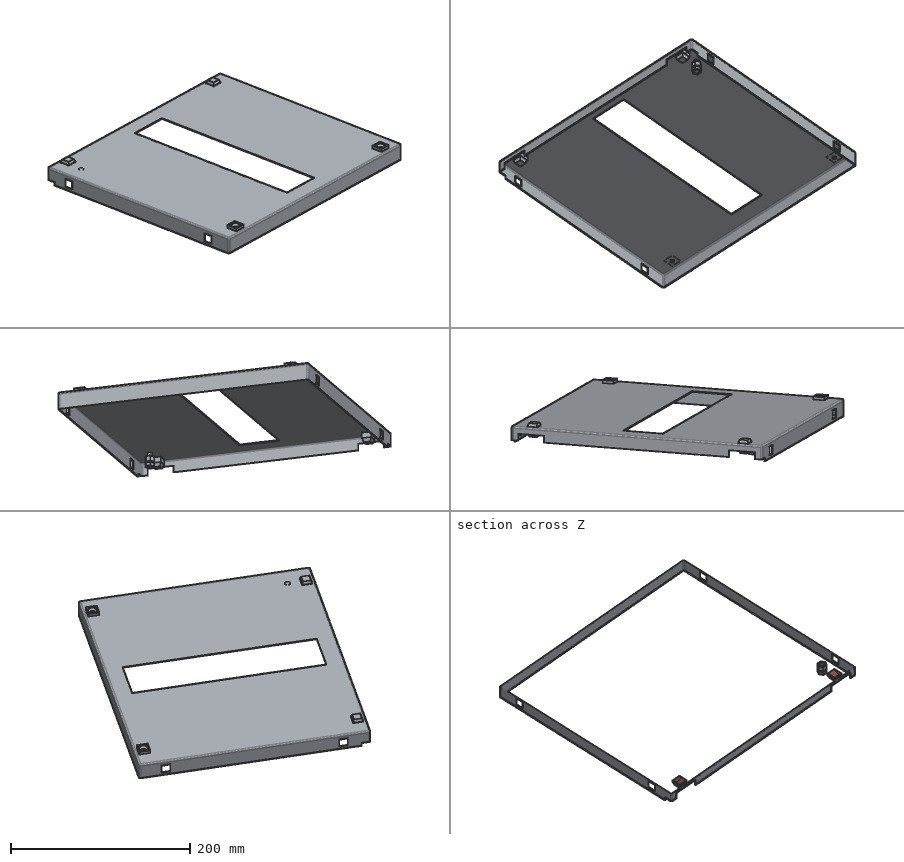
import cadquery as cq

PANEL_X = 265.0
PANEL_Y = 298.0
OVERALL_Z = 23.5
HEAD_HEIGHT = 3.5
PANEL_Z = OVERALL_Z - HEAD_HEIGHT
SHEET = 1.2
BEND_RADIUS = 2.0

WINDOW_X = 222.0
WINDOW_Y = 46.8

WALL_HOLE = 9.8
WALL_HOLE_X = 101.5
WALL_HOLE_Z = 8.5

LEFT_WALL_LIFT = 4.0
LEFT_RELIEF_X = 10.0
NOTCH_Y = 30.7
NOTCH_TOP_Z = 11.5

FASTENER_Y = 125.2
ROW_Y = (-FASTENER_Y, FASTENER_Y)

KNOB_X = -122.5
KNOB_BASE = 12.0
KNOB_TOP = 9.0
KNOB_STEM = 11.3
KNOB_TIP = 7.7
KNOB_TAPER_Z = 12.5
KNOB_TIP_Z = 8.0

BUSHING_X = 122.0
BUSHING_SIDE = 12.8
BUSHING_BORE = 4.5
BUSHING_RECESS = 10.7
BUSHING_RECESS_DEPTH = 0.5
BUSHING_SEAT = 9.5
BUSHING_SEAT_DEPTH = 2.5

STUD_X = -WALL_HOLE_X
STUD_Y = -127.0
STUD_DIAMETER = 6.0
STUD_BOTTOM_Z = 3.0
NUT_ACROSS_FLATS = 9.2
LOWER_NUT_HEIGHT = 4.2
UPPER_NUT_HEIGHT = 6.3
NUT_GAP = 1.2


def block(size_x, size_y, z_bottom, z_top, x=0.0, y=0.0):
    """Upright block centred on (x, y) between two levels."""
    return (
        cq.Workplane("XY", origin=(x, y, z_bottom))
        .rect(size_x, size_y)
        .extrude(z_top - z_bottom)
    )


def frustum(side_start, side_end, z_start, z_end, x, y):
    """Square pyramid frustum centred on (x, y)."""
    return (
        cq.Workplane("XY", origin=(x, y, z_start))
        .rect(side_start, side_start)
        .workplane(offset=z_end - z_start)
        .rect(side_end, side_end)
        .loft(ruled=True)
    )


def make_tray():
    """Panel skin and its four bent walls, with rounded outer edges."""
    outer = block(PANEL_X, PANEL_Y, 0, PANEL_Z)
    outer = outer.edges("|Z or >Z").fillet(BEND_RADIUS)
    inner_top = PANEL_Z - SHEET
    inner = block(PANEL_X - 2 * SHEET, PANEL_Y - 2 * SHEET, 0, inner_top)
    inner = inner.edges("|Z or >Z").fillet(BEND_RADIUS - SHEET)
    return outer.cut(inner)


def left_wall_relief():
    """Material removed below the left wall, including the notches under the knobs."""
    left_edge = -PANEL_X / 2
    strip_x = left_edge + LEFT_RELIEF_X / 2
    relief = block(LEFT_RELIEF_X, PANEL_Y, 0, LEFT_WALL_LIFT, strip_x)
    for y in ROW_Y:
        relief = relief.union(block(2 * SHEET, NOTCH_Y, 0, NOTCH_TOP_Z, left_edge + SHEET, y))
    return relief


def make_panel():
    panel = make_tray().cut(left_wall_relief())
    inner_top = PANEL_Z - SHEET
    panel = panel.cut(block(WINDOW_X, WINDOW_Y, inner_top, PANEL_Z))
    for x in (-WALL_HOLE_X, WALL_HOLE_X):
        hole_bottom = WALL_HOLE_Z - WALL_HOLE / 2
        panel = panel.cut(block(WALL_HOLE, PANEL_Y, hole_bottom, hole_bottom + WALL_HOLE, x))
    for y in ROW_Y:
        panel = panel.cut(block(KNOB_STEM, KNOB_STEM, inner_top, PANEL_Z, KNOB_X, y))
        screw_hole = cq.Workplane("XY", origin=(BUSHING_X, y, inner_top))
        panel = panel.cut(screw_hole.circle(BUSHING_BORE / 2).extrude(SHEET))
    return panel


def make_knob(y):
    """Tapered head above the panel and a stem that narrows to its tip below."""
    head = frustum(KNOB_BASE, KNOB_TOP, PANEL_Z, OVERALL_Z, KNOB_X, y)
    stem = block(KNOB_STEM, KNOB_STEM, KNOB_TAPER_Z, PANEL_Z, KNOB_X, y)
    tip = frustum(KNOB_STEM, KNOB_TIP, KNOB_TAPER_Z, KNOB_TIP_Z, KNOB_X, y)
    return head.union(stem).union(tip)


def make_bushing(y):
    """Square pad with a shallow round recess and a conical seat leading into a screw hole."""
    pad = block(BUSHING_SIDE, BUSHING_SIDE, PANEL_Z, OVERALL_Z, BUSHING_X, y)
    bore = (
        cq.Workplane("XY", origin=(BUSHING_X, y, PANEL_Z))
        .circle(BUSHING_BORE / 2)
        .extrude(HEAD_HEIGHT)
    )
    recess_floor = OVERALL_Z - BUSHING_RECESS_DEPTH
    recess = (
        cq.Workplane("XY", origin=(BUSHING_X, y, recess_floor))
        .circle(BUSHING_RECESS / 2)
        .extrude(BUSHING_RECESS_DEPTH)
    )
    seat = (
        cq.Workplane("XY", origin=(BUSHING_X, y, recess_floor - BUSHING_SEAT_DEPTH))
        .circle(BUSHING_BORE / 2)
        .workplane(offset=BUSHING_SEAT_DEPTH)
        .circle(BUSHING_SEAT / 2)
        .loft()
    )
    return pad.cut(bore).cut(recess).cut(seat)


def make_stud():
    """Plain stud hanging from the underside of the panel."""
    return (
        cq.Workplane("XY", origin=(STUD_X, STUD_Y, STUD_BOTTOM_Z))
        .circle(STUD_DIAMETER / 2)
        .extrude(PANEL_Z - SHEET - STUD_BOTTOM_Z)
    )


def make_nut(z_bottom, height):
    """Hexagonal nut around the stud, with two flats facing front and back."""
    return (
        cq.Workplane("XY", origin=(STUD_X, STUD_Y, z_bottom))
        .polygon(6, NUT_ACROSS_FLATS, circumscribed=True)
        .circle(STUD_DIAMETER / 2)
        .extrude(height)
    )


panel = make_panel()
knobs = [make_knob(y) for y in ROW_Y]
bushings = [make_bushing(y) for y in ROW_Y]
stud = make_stud()
upper_nut_z = STUD_BOTTOM_Z + LOWER_NUT_HEIGHT + NUT_GAP
nuts = [
    make_nut(z_bottom, height)
    for z_bottom, height in ((STUD_BOTTOM_Z, LOWER_NUT_HEIGHT), (upper_nut_z, UPPER_NUT_HEIGHT))
]

result = cq.Compound.makeCompound(
    [body.val() for body in [panel, *knobs, *bushings, stud, *nuts]]
)